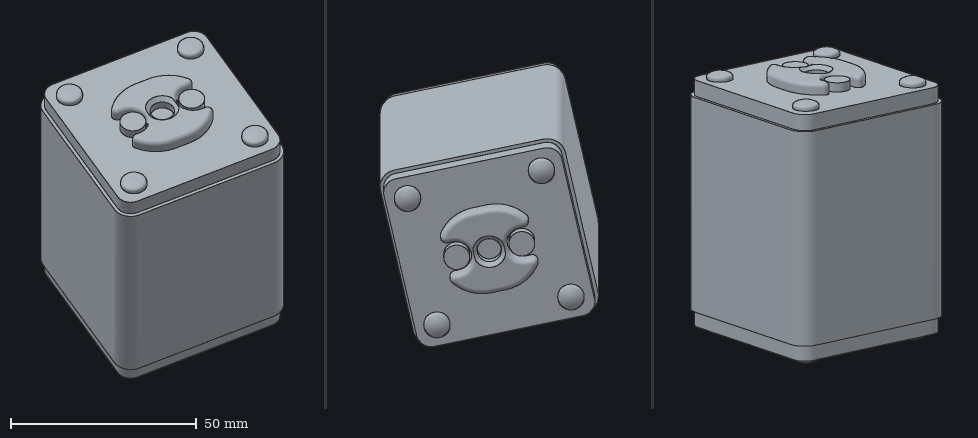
import cadquery as cq
import math

total_height = 76.0
body_width = 51.0
body_corner_radius = 5.0
plate_inset = 1.0
plate_thickness = 4.5
connector_height = 3.5

oval_radius = 12.0
oval_straight = 3.95
notch_radius = 4.5
notch_center_y = 9.4
edge_round = 1.5
tip_round = 1.5
pin_radius = 3.5
pin_height = 2.6
pin_center_y = 9.0
socket_radius = 3.3
socket_chamfer = 1.2

screw_spacing = 36.9
screw_radius = 3.6
screw_height = 2.2
dome_radius = 6.3
rim_round = 1.0

plate_width = body_width - 2 * plate_inset
plate_corner_radius = body_corner_radius - plate_inset
plate_top = total_height / 2 - connector_height
body_height = 2 * (plate_top - plate_thickness)


def rounded_block(width, height, corner_radius):
    """Square block centred on the origin with rounded vertical edges."""
    block = cq.Workplane("XY").box(width, width, height)
    return block.edges("|Z").fillet(corner_radius)


def notched_oval():
    """Oval with a U notch at both Y ends and rounded tips and top edges, resting on z = 0."""
    oval_length = 2 * oval_radius + oval_straight
    oval = cq.Workplane("XY").slot2D(oval_length, 2 * oval_radius, 90).extrude(connector_height)
    notch_length = oval_length
    notch_middle_y = notch_center_y - notch_radius + notch_length / 2
    notches = (
        cq.Workplane("XY")
        .pushPoints([(0, notch_middle_y), (0, -notch_middle_y)])
        .slot2D(notch_length, 2 * notch_radius, 90)
        .extrude(connector_height)
    )
    oval = oval.cut(notches).edges("|Z").edges(">Y or <Y").fillet(tip_round)
    return oval.faces(">Z").edges().fillet(edge_round)


def socket():
    """Round hole with a chamfered mouth, as deep as the connector is tall."""
    mouth_radius = socket_radius + socket_chamfer
    return (
        cq.Workplane("XZ")
        .lineTo(socket_radius, 0)
        .lineTo(socket_radius, connector_height - socket_chamfer)
        .lineTo(mouth_radius, connector_height)
        .lineTo(0, connector_height)
        .close()
        .revolve(360, (0, 0, 0), (0, 1, 0))
    )


def pins():
    """Two plain round pins, one in the middle of each notch."""
    centers = [(0, pin_center_y), (0, -pin_center_y)]
    return cq.Workplane("XY").pushPoints(centers).circle(pin_radius).extrude(pin_height)


def screw_head():
    """Short cylinder under a spherical dome, with the rim between them rounded."""
    dome_center_z = screw_height - dome_radius
    rim_center_r = screw_radius - rim_round
    center_distance = dome_radius - rim_round
    tilt = math.asin(rim_center_r / center_distance)
    rim_center_z = dome_center_z + center_distance * math.cos(tilt)
    dome_edge = (dome_radius * math.sin(tilt), dome_center_z + dome_radius * math.cos(tilt))
    return (
        cq.Workplane("XZ")
        .lineTo(screw_radius, 0)
        .lineTo(screw_radius, rim_center_z)
        .tangentArcPoint(dome_edge, relative=False)
        .tangentArcPoint((0, screw_height), relative=False)
        .close()
        .revolve(360, (0, 0, 0), (0, 1, 0))
    )


def end_fittings():
    """Connector and four screw heads, resting on z = 0."""
    fittings = notched_oval().cut(socket()).union(pins())
    corners = cq.Workplane("XY").rect(screw_spacing, screw_spacing, forConstruction=True).vertices()
    head = screw_head().val()
    return fittings.union(corners.eachpoint(lambda place: head.moved(place)))


body = rounded_block(body_width, body_height, body_corner_radius)
plates = rounded_block(plate_width, 2 * plate_top, plate_corner_radius)
top_fittings = end_fittings().translate((0, 0, plate_top))
result = body.union(plates).union(top_fittings).union(top_fittings.mirror("XY"))